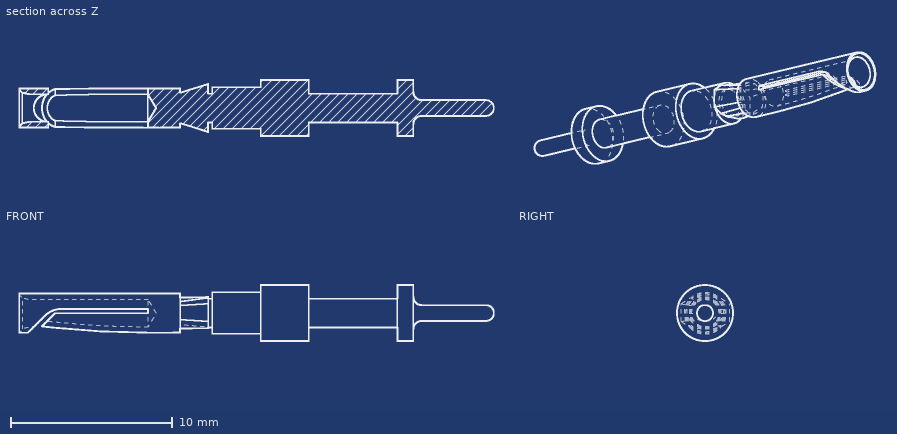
import cadquery as cq
import math

SOCKET_END = 10.0
BARB_END = 11.75
COLLAR_START = 12.0
FLANGE_START = 15.0
FLANGE_END = 18.0
DISC_START = 23.5
DISC_END = 24.5
TIP_END = 29.5

SOCKET_RADIUS = 1.225
NECK_RADIUS = 0.9
COLLAR_RADIUS = 1.3
FLANGE_RADIUS = 1.75
SHAFT_RADIUS = 0.9
DISC_RADIUS = 1.75
PIN_RADIUS = 0.5
PIN_ROOT_FILLET = 0.5

MOUTH_RADIUS = 1.15
LEAD_IN_RADIUS = 0.95
LEAD_IN_DEPTH = 0.2
THROAT_DEPTH = 0.65
BORE_RADIUS = 0.85
DRILL_POINT_ANGLE = 118.0

SLIT_END = 8.0
SLIT_HEIGHT = 0.25
SLIT_BLEND_RADIUS = 1.5
LIP_ANGLE = 45.0
LIP_LENGTH = 0.55
FINGER_POINT_X = 2.25
FINGER_TIP_RISE = 0.4

BARB_ROOT_RADIUS = 1.0
BARB_ROOT_ANGLES = (75.0, 45.0, 28.0, 11.0, -24.0, -45.0, -75.0)
BARB_RIM_CORNERS = (
    (0.49, 1.0),
    (0.95, 0.95),
    (1.5, 0.58),
    (1.5, 0.12),
    (1.5, -0.52),
    (0.95, -0.85),
    (0.49, -0.95),
)

CLEARANCE = 1.0


def turned_body():
    """Solid of revolution from the socket mouth to the tip of the pin."""
    slant = math.sqrt(0.5)
    fillet_radius = PIN_RADIUS + PIN_ROOT_FILLET
    fillet_end = DISC_END + PIN_ROOT_FILLET
    tip_start = TIP_END - PIN_RADIUS
    fillet_middle = (fillet_end - PIN_ROOT_FILLET * slant, fillet_radius - PIN_ROOT_FILLET * slant)
    tip_middle = (tip_start + PIN_RADIUS * slant, PIN_RADIUS * slant)
    return (
        cq.Workplane("XZ")
        .moveTo(0, 0)
        .lineTo(0, SOCKET_RADIUS)
        .lineTo(SOCKET_END, SOCKET_RADIUS)
        .lineTo(SOCKET_END, NECK_RADIUS)
        .lineTo(COLLAR_START, NECK_RADIUS)
        .lineTo(COLLAR_START, COLLAR_RADIUS)
        .lineTo(FLANGE_START, COLLAR_RADIUS)
        .lineTo(FLANGE_START, FLANGE_RADIUS)
        .lineTo(FLANGE_END, FLANGE_RADIUS)
        .lineTo(FLANGE_END, SHAFT_RADIUS)
        .lineTo(DISC_START, SHAFT_RADIUS)
        .lineTo(DISC_START, DISC_RADIUS)
        .lineTo(DISC_END, DISC_RADIUS)
        .lineTo(DISC_END, fillet_radius)
        .threePointArc(fillet_middle, (fillet_end, PIN_RADIUS))
        .lineTo(tip_start, PIN_RADIUS)
        .threePointArc(tip_middle, (TIP_END, 0))
        .close()
        .revolve(360, (0, 0, 0), (1, 0, 0))
    )


def bore():
    """Tapered mouth, straight bore and conical drill point."""
    point_depth = BORE_RADIUS / math.tan(math.radians(DRILL_POINT_ANGLE / 2))
    return (
        cq.Workplane("XZ")
        .polyline([
            (0, 0),
            (0, MOUTH_RADIUS),
            (LEAD_IN_DEPTH, LEAD_IN_RADIUS),
            (THROAT_DEPTH, BORE_RADIUS),
            (SLIT_END, BORE_RADIUS),
            (SLIT_END + point_depth, 0),
        ])
        .close()
        .revolve(360, (0, 0, 0), (1, 0, 0))
    )


def finger_opening():
    """Removes the lower half of the socket behind a slanted lip, up to the top of the slit."""
    bottom = -SOCKET_RADIUS - CLEARANCE
    lip_run = 1 / math.tan(math.radians(LIP_ANGLE))
    corner_x = LIP_LENGTH + (SOCKET_RADIUS + SLIT_HEIGHT) * lip_run
    tangent = SLIT_BLEND_RADIUS * math.tan(math.radians(LIP_ANGLE / 2))
    lip_angle = math.radians(LIP_ANGLE)
    blend_start = (corner_x - tangent * math.cos(lip_angle), SLIT_HEIGHT - tangent * math.sin(lip_angle))
    blend_end = (corner_x + tangent, SLIT_HEIGHT)
    return (
        cq.Workplane("XZ")
        .moveTo(LIP_LENGTH - CLEARANCE * lip_run, bottom)
        .lineTo(*blend_start)
        .tangentArcPoint(blend_end, relative=False)
        .lineTo(SLIT_END, SLIT_HEIGHT)
        .lineTo(SLIT_END, bottom)
        .close()
        .extrude(SOCKET_RADIUS + CLEARANCE, both=True)
    )


def spring_finger():
    """Tube bent upward along an arc from the slit end, trimmed flat on top and slanted in front."""
    bottom = -SOCKET_RADIUS - CLEARANCE
    lip_run = 1 / math.tan(math.radians(LIP_ANGLE))
    bend_length = SLIT_END - FINGER_POINT_X - bottom * lip_run
    tip_length = SLIT_END - FINGER_POINT_X + (SOCKET_RADIUS - FINGER_TIP_RISE) * lip_run
    bend_radius = tip_length**2 / (2 * FINGER_TIP_RISE)
    bend_angle = math.degrees(bend_length / bend_radius)
    bent_tube = (
        cq.Workplane("YZ", origin=(SLIT_END, 0, 0))
        .circle(SOCKET_RADIUS)
        .circle(BORE_RADIUS)
        .revolve(bend_angle, (0, bend_radius, 0), (1, bend_radius, 0))
    )
    trim = (
        cq.Workplane("XZ")
        .polyline([
            (FINGER_POINT_X, 0),
            (SLIT_END, 0),
            (SLIT_END, bottom),
            (FINGER_POINT_X + bottom * lip_run, bottom),
        ])
        .close()
        .extrude(SOCKET_RADIUS + CLEARANCE, both=True)
    )
    return bent_tube.intersect(trim)


def mirrored_outline(corners):
    """Closes the +Y half of an outline with its mirror image on the -Y side."""
    return list(corners) + [(-y, z) for y, z in reversed(corners)]


def barb():
    """Faceted wedge behind the socket that widens in Y and keeps its height in Z."""
    root_corners = [
        (BARB_ROOT_RADIUS * math.cos(math.radians(a)), BARB_ROOT_RADIUS * math.sin(math.radians(a)))
        for a in BARB_ROOT_ANGLES
    ]
    return (
        cq.Workplane("YZ", origin=(SOCKET_END, 0, 0))
        .polyline(mirrored_outline(root_corners))
        .close()
        .workplane(offset=BARB_END - SOCKET_END)
        .polyline(mirrored_outline(BARB_RIM_CORNERS))
        .close()
        .loft(ruled=True)
    )


socket = turned_body().union(barb()).cut(bore()).cut(finger_opening())
result = socket.union(spring_finger())